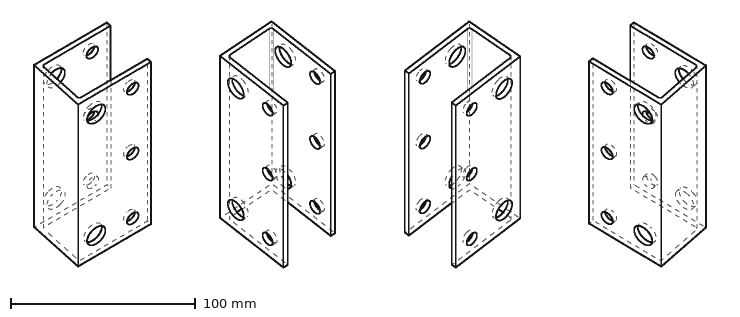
import cadquery as cq

width = 38.1
depth = 50.8
length = 127.0
wall = 3.2
inner_radius = wall / 2

small_diameter = 8.0
small_from_open_edge = 12.7
small_from_end = 12.7
large_diameter = 12.7
large_from_back = 12.7
large_from_end = 15.9


def make_channel():
    """U-shaped channel, centred on the origin, with rounded inner corners."""
    outer = cq.Workplane("XY").box(width, depth, length)
    cavity = (
        cq.Workplane("XY")
        .box(width - 2 * wall, depth, length)
        .translate((0, wall, 0))
        .edges("|Z and <Y")
        .fillet(inner_radius)
    )
    return outer.cut(cavity)


def cross_holes(diameter, y, heights):
    """Cylinders along X that cross both side walls."""
    return (
        cq.Workplane("YZ")
        .pushPoints([(y, z) for z in heights])
        .circle(diameter / 2)
        .extrude(width, both=True)
    )


small_offset = length / 2 - small_from_end
large_offset = length / 2 - large_from_end
small_holes = cross_holes(
    small_diameter, depth / 2 - small_from_open_edge, [-small_offset, 0, small_offset]
)
large_holes = cross_holes(
    large_diameter, large_from_back - depth / 2, [-large_offset, large_offset]
)

result = make_channel().cut(small_holes).cut(large_holes)